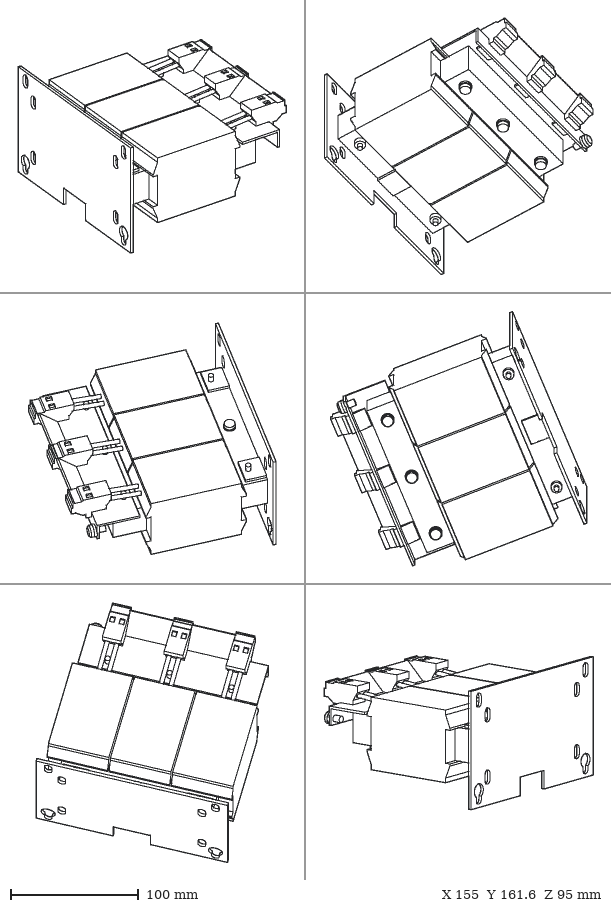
import cadquery as cq
import math


OVERLAP = 0.5

PLATE_WIDTH = 155.0
PLATE_HEIGHT = 95.0
PLATE_THICKNESS = 2.5
PLATE_CENTRE_Z = 1.0
PLATE_BOTTOM_Z = PLATE_CENTRE_Z - PLATE_HEIGHT / 2
PLATE_TOP_Z = PLATE_CENTRE_Z + PLATE_HEIGHT / 2
NOTCH_WIDTH = 30.0
NOTCH_HEIGHT = 15.0
SLOT_WIDTH = 6.0
SLOT_LENGTH = 11.2
OUTER_SLOT_X = 67.7
OUTER_SLOT_DROP = 8.7
INNER_SLOT_X = 56.7
INNER_SLOT_Z = 25.0
KEYHOLE_DIAMETER = 11.2
KEYHOLE_RISE = 13.5
KEYHOLE_SLOT_RISE = 5.9

CORE_WIDTH = 125.6
CORE_HEIGHT = 27.0
CORE_TOP_Z = CORE_HEIGHT / 2
CORE_BACK_Y = 129.0

COIL_PITCH = 50.3
COIL_GAP = 1.3
COIL_WIDTH = COIL_PITCH - COIL_GAP
COIL_FRONT_Y = 27.5
COIL_BACK_Y = 101.5
COIL_HALF_HEIGHT = 29.2
COIL_FLANGE_REACH = 4.2
COIL_FLANGE_START_Z = 25.3
COIL_FLANGE_LIP = 1.7

TAB_WIDTH = 20.5
TAB_END_Y = 19.8
TAB_THICKNESS = 2.3

BOLT_PITCH = 50.1
BOLT_DIAMETER = 4.1
FRONT_BOLT_Y = 14.5
REAR_BOLT_Y = 116.5
BOLT_REACH_Z = 21.0
NUT_DIAMETER = 8.6
NUT_HEIGHT = 3.8
WASHER_DIAMETER = 9.6
WASHER_HEIGHT = 1.0
REAR_WASHER_DIAMETER = 10.2
REAR_WASHER_HEIGHT = 1.8
REAR_HEAD_HEIGHT = 5.1

BRACKET_WIDTH = 145.0
BRACKET_FRONT_Y = 109.8
BRACKET_BACK_Y = 145.1
BRACKET_THICKNESS = 2.0
BRACKET_TOP_Z = CORE_TOP_Z + BRACKET_THICKNESS
PANEL_FOOT_Y = 142.2
PANEL_TOP_Y = 157.2
PANEL_ANGLE = math.radians(44.0)

EARTH_X = -67.6
EARTH_Z = 5.0
EARTH_SHANK_DIAMETER = 5.3
EARTH_SHANK_LENGTH = 6.2
EARTH_WASHER_DIAMETER = 10.2
EARTH_WASHER_THICKNESS = 2.0
EARTH_HEAD_DIAMETER = 9.9
EARTH_HEAD_HEIGHT = 3.8
EARTH_HEAD_CHAMFER = 1.4

TERMINAL_WIDTH = 15.2
TERMINAL_TOP_Z = 31.2
TERMINAL_OUTLINE = [
    (128.7, TERMINAL_TOP_Z),
    (151.9, TERMINAL_TOP_Z),
    (153.1, 29.8),
    (159.0, 29.8),
    (159.0, 30.4),
    (160.2, 30.4),
    (160.2, 24.8),
    (161.6, 24.8),
    (161.6, 18.3),
    (157.9, 18.3),
    (152.3, 14.0),
    (149.4, 14.0),
    (149.4, 10.1),
    (142.7, 10.1),
    (132.9, 12.2),
    (132.9, 19.1),
    (128.7, 25.7),
]
WIRE_SPACING = 7.8
WIRE_DIAMETER = 3.5
WIRE_START = (131.0, 22.8)
WIRE_END = (103.5, 20.7)
PORT_WIDTH = 3.6
PORT_LENGTH = 4.6
PORT_CENTRE_Y = 145.7
PORT_DEPTH = 1.5


def box(x_range, y_range, z_range):
    """Axis-aligned box from three (low, high) ranges."""
    size = [high - low for low, high in (x_range, y_range, z_range)]
    corner = cq.Vector(x_range[0], y_range[0], z_range[0])
    return cq.Workplane(cq.Solid.makeBox(*size, corner))


def rod(start, end, diameter):
    """Round bar between two points."""
    axis = cq.Vector(*end) - cq.Vector(*start)
    return cq.Workplane(cq.Solid.makeCylinder(diameter / 2, axis.Length, cq.Vector(*start), axis))


def extrude_along_x(outline, centre_x, width):
    """Prism of a (Y, Z) outline, centred on centre_x."""
    return cq.Workplane("YZ", origin=(centre_x - width / 2, 0, 0)).polyline(outline).close().extrude(width)


def plate_slots(points, length):
    """Upright slot cutters through the plate at (X, Z) points."""
    sketch = cq.Workplane("XZ", origin=(0, PLATE_THICKNESS, 0)).pushPoints(points)
    return sketch.slot2D(length, SLOT_WIDTH, 90).extrude(PLATE_THICKNESS)


def mounting_plate():
    half_width = PLATE_WIDTH / 2
    plate = box((-half_width, half_width), (0, PLATE_THICKNESS), (PLATE_BOTTOM_Z, PLATE_TOP_Z))
    notch_x = (-NOTCH_WIDTH / 2, NOTCH_WIDTH / 2)
    plate = plate.cut(box(notch_x, (0, PLATE_THICKNESS), (PLATE_BOTTOM_Z, PLATE_BOTTOM_Z + NOTCH_HEIGHT)))
    keyhole_z = PLATE_BOTTOM_Z + KEYHOLE_RISE
    narrow_length = KEYHOLE_RISE - KEYHOLE_SLOT_RISE + SLOT_WIDTH
    narrow_z = PLATE_BOTTOM_Z + (KEYHOLE_RISE + KEYHOLE_SLOT_RISE) / 2
    for side in (-1, 1):
        outer_x = side * OUTER_SLOT_X
        inner_x = side * INNER_SLOT_X
        slots = [(outer_x, PLATE_TOP_Z - OUTER_SLOT_DROP)]
        slots += [(inner_x, PLATE_CENTRE_Z + offset) for offset in (-INNER_SLOT_Z, INNER_SLOT_Z)]
        plate = plate.cut(plate_slots(slots, SLOT_LENGTH))
        plate = plate.cut(plate_slots([(outer_x, narrow_z)], narrow_length))
        plate = plate.cut(rod((outer_x, 0, keyhole_z), (outer_x, PLATE_THICKNESS, keyhole_z), KEYHOLE_DIAMETER))
    return plate


def core():
    half_width = CORE_WIDTH / 2
    return box((-half_width, half_width), (PLATE_THICKNESS, CORE_BACK_Y), (-CORE_TOP_Z, CORE_TOP_Z))


def coil(centre_x):
    """Coil block whose end flanges flare out above and below the core."""
    tip_y = COIL_FRONT_Y - COIL_FLANGE_REACH
    front_half = [
        (COIL_FRONT_Y, COIL_HALF_HEIGHT),
        (COIL_FRONT_Y, COIL_FLANGE_START_Z),
        (tip_y, CORE_TOP_Z + COIL_FLANGE_LIP),
        (tip_y, CORE_TOP_Z),
        (COIL_FRONT_Y, CORE_TOP_Z),
    ]
    front = front_half + [(y, -z) for y, z in reversed(front_half)]
    back = [(COIL_FRONT_Y + COIL_BACK_Y - y, z) for y, z in reversed(front)]
    return extrude_along_x(front + back, centre_x, COIL_WIDTH)


def tab(centre_x, side):
    """Tab on the core's top (side = 1) or bottom (side = -1) face."""
    heights = sorted((side * CORE_TOP_Z, side * (CORE_TOP_Z + TAB_THICKNESS)))
    x_range = (centre_x - TAB_WIDTH / 2, centre_x + TAB_WIDTH / 2)
    return box(x_range, (PLATE_THICKNESS - OVERLAP, TAB_END_Y), heights)


def core_disc(x, y, side, diameter, height):
    """Round washer, nut or bolt head standing on the core's top or bottom face."""
    start = (x, y, side * (CORE_TOP_Z - OVERLAP))
    return rod(start, (x, y, side * (CORE_TOP_Z + height)), diameter)


def corner_bolt(x):
    bolt = rod((x, FRONT_BOLT_Y, -BOLT_REACH_Z), (x, FRONT_BOLT_Y, BOLT_REACH_Z), BOLT_DIAMETER)
    return bolt.union(core_disc(x, FRONT_BOLT_Y, -1, NUT_DIAMETER, NUT_HEIGHT))


def centre_bolt_head():
    washer = core_disc(0, FRONT_BOLT_Y, 1, WASHER_DIAMETER, WASHER_HEIGHT)
    return washer.union(core_disc(0, FRONT_BOLT_Y, 1, NUT_DIAMETER, NUT_HEIGHT))


def rear_bolt(x):
    bolt = rod((x, REAR_BOLT_Y, 0), (x, REAR_BOLT_Y, BOLT_REACH_Z), BOLT_DIAMETER)
    bolt = bolt.union(core_disc(x, REAR_BOLT_Y, -1, REAR_WASHER_DIAMETER, REAR_WASHER_HEIGHT))
    return bolt.union(core_disc(x, REAR_BOLT_Y, -1, NUT_DIAMETER, REAR_HEAD_HEIGHT))


def bracket():
    """Angle bracket on the core with a sloping panel between the outer terminals."""
    inner_y = BRACKET_BACK_Y - BRACKET_THICKNESS
    angle = [
        (BRACKET_FRONT_Y, CORE_TOP_Z),
        (BRACKET_FRONT_Y, BRACKET_TOP_Z),
        (BRACKET_BACK_Y, BRACKET_TOP_Z),
        (BRACKET_BACK_Y, 0),
        (inner_y, 0),
        (inner_y, CORE_TOP_Z),
    ]
    run = PANEL_TOP_Y - PANEL_FOOT_Y
    rise = run * math.tan(PANEL_ANGLE)
    across_y = BRACKET_THICKNESS * math.sin(PANEL_ANGLE)
    across_z = BRACKET_THICKNESS * math.cos(PANEL_ANGLE)
    panel = [
        (PANEL_FOOT_Y, BRACKET_TOP_Z),
        (PANEL_TOP_Y, BRACKET_TOP_Z + rise),
        (PANEL_TOP_Y + across_y, BRACKET_TOP_Z + rise - across_z),
        (PANEL_FOOT_Y + across_y, BRACKET_TOP_Z - across_z),
    ]
    body = extrude_along_x(angle, 0, BRACKET_WIDTH)
    panel_width = 2 * BOLT_PITCH - TERMINAL_WIDTH + 2 * OVERLAP
    return body.union(extrude_along_x(panel, 0, panel_width))


def earth_screw():
    washer_back_y = BRACKET_BACK_Y + EARTH_WASHER_THICKNESS
    head_back_y = washer_back_y + EARTH_HEAD_HEIGHT
    shank_end_y = BRACKET_BACK_Y - BRACKET_THICKNESS - EARTH_SHANK_LENGTH

    def at(y):
        return (EARTH_X, y, EARTH_Z)

    head = rod(at(washer_back_y), at(head_back_y), EARTH_HEAD_DIAMETER)
    head = head.faces(">Y").chamfer(EARTH_HEAD_CHAMFER)
    washer = rod(at(BRACKET_BACK_Y - OVERLAP), at(washer_back_y), EARTH_WASHER_DIAMETER)
    shank = rod(at(shank_end_y), at(washer_back_y), EARTH_SHANK_DIAMETER)
    return shank.union(washer).union(head)


def terminal(centre_x):
    """Terminal block with two conductor ports on top and two wires down to the coil."""
    body = extrude_along_x(TERMINAL_OUTLINE, centre_x, TERMINAL_WIDTH)
    port_y = (PORT_CENTRE_Y - PORT_LENGTH / 2, PORT_CENTRE_Y + PORT_LENGTH / 2)
    for side in (-1, 1):
        x = centre_x + side * WIRE_SPACING / 2
        port_x = (x - PORT_WIDTH / 2, x + PORT_WIDTH / 2)
        body = body.cut(box(port_x, port_y, (TERMINAL_TOP_Z - PORT_DEPTH, TERMINAL_TOP_Z)))
        body = body.union(rod((x, *WIRE_START), (x, *WIRE_END), WIRE_DIAMETER))
    return body


result = mounting_plate().union(core()).union(bracket()).union(earth_screw())
for position in (-1, 0, 1):
    bolt_x = position * BOLT_PITCH
    result = result.union(coil(position * COIL_PITCH))
    result = result.union(rear_bolt(bolt_x))
    result = result.union(terminal(bolt_x))
for bolt_x in (-BOLT_PITCH, BOLT_PITCH):
    result = result.union(tab(bolt_x, 1)).union(corner_bolt(bolt_x))
result = result.union(tab(0, -1)).union(centre_bolt_head())